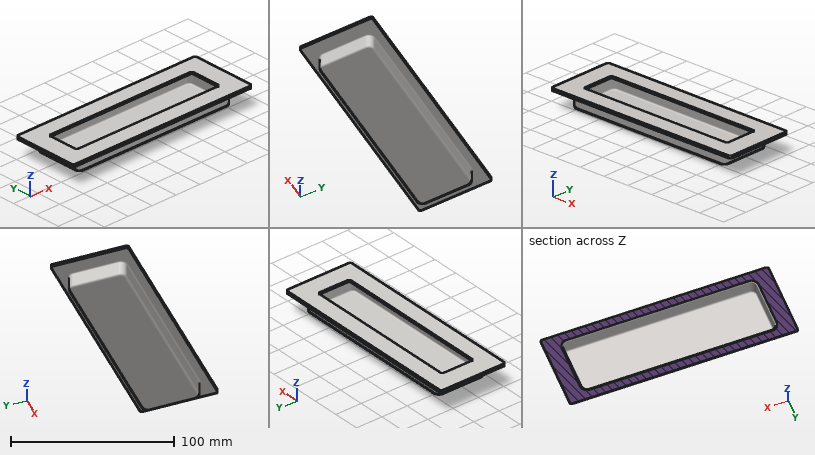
import cadquery as cq

length = 150.0
width = 51.0
height = 12.5
outline_radius = 1.5

plate_thickness = 1.5
opening_length = 120.0
opening_width = 24.9
opening_radius = 1.5

sheet = 0.5
cup_length = 128.1
cup_width = 38.1
cup_corner_radius = 4.0
floor_radius = 1.5
rim_radius = 0.9

flange_top = height - plate_thickness
flange_bottom = flange_top - sheet


def rounded_block(size_x, size_y, radius, bottom, top):
    """Upright block centred on the Z axis, with rounded vertical corners."""
    return (
        cq.Workplane("XY", origin=(0, 0, bottom))
        .rect(size_x, size_y)
        .extrude(top - bottom)
        .edges("|Z")
        .fillet(radius)
    )


def make_plate():
    """Flat frame with a rectangular grip opening."""
    blank = rounded_block(length, width, outline_radius, flange_top, height)
    opening = rounded_block(opening_length, opening_width, opening_radius, flange_top, height)
    return blank.cut(opening)


def edges_around_cup(body, level):
    """Edges lying at one height, around the cup and inside the flange outline."""
    reach_x = (length + cup_length) / 4
    reach_y = (width + cup_width) / 4
    band = sheet / 3
    return body.edges(
        cq.selectors.BoxSelector(
            (-reach_x, -reach_y, level - band),
            (reach_x, reach_y, level + band),
            boundingbox=True,
        )
    )


def make_tray():
    """Cup and flange of uniform sheet thickness, with concentric bends."""
    flange = rounded_block(length, width, outline_radius, flange_bottom, flange_top)
    cup = rounded_block(cup_length, cup_width, cup_corner_radius, 0, flange_top)
    cup = cup.faces("<Z").edges().fillet(floor_radius)
    body = flange.union(cup)
    body = edges_around_cup(body, flange_bottom).fillet(rim_radius)

    cavity = rounded_block(
        cup_length - 2 * sheet,
        cup_width - 2 * sheet,
        cup_corner_radius - sheet,
        sheet,
        flange_top,
    )
    cavity = cavity.faces("<Z").edges().fillet(floor_radius - sheet)
    body = body.cut(cavity)
    return edges_around_cup(body, flange_top).fillet(rim_radius + sheet)


plate = make_plate()
tray = make_tray()
result = cq.Compound.makeCompound([plate.val(), tray.val()])